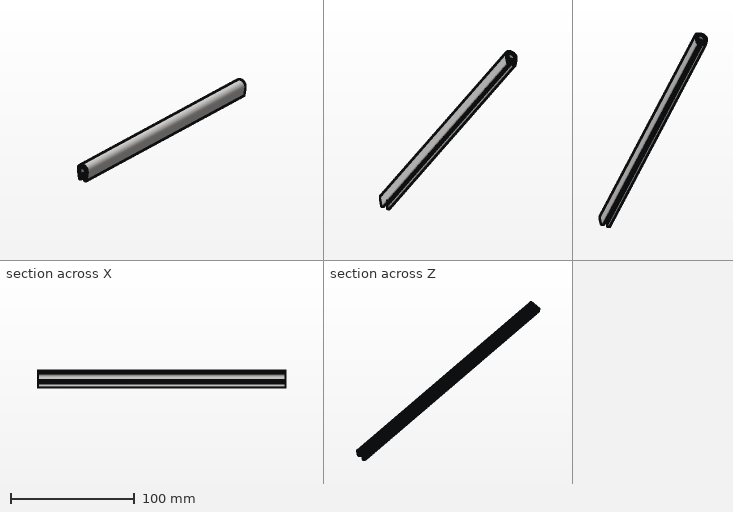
import cadquery as cq
import math

length = 200.0
width = 10.5
height = 14.0
wall = 2.5
core_thickness = 0.2
leg_tilt = math.radians(9.5)

bend_radius = (width - wall) / 2
bend_z = height - width / 2
leg_length = (bend_z - bend_radius * math.sin(leg_tilt) - wall / 2) / math.cos(leg_tilt)

lip_gap = 0.2
lip_root_x = -2.5
lip_top_z = 4.8
lip_step_x = -1.2
lip_tip_top_z = 6.2
lip_tip_bottom_z = 5.2
lip_heel_x = -1.5
lip_heel_z = 3.5


def leg_point(radius, along):
    """Left-side point at a distance along the leg from the end of the bend."""
    x = -radius * math.cos(leg_tilt) + along * math.sin(leg_tilt)
    z = bend_z - radius * math.sin(leg_tilt) - along * math.cos(leg_tilt)
    return x, z


def mirrored(point):
    return -point[0], point[1]


def extruded(outline):
    """Extrude a closed XZ outline along +Y, centred on the origin."""
    return outline.close().extrude(-length).translate((0, -length / 2, 0))


def bent_strip(thickness, round_ends):
    """Strip bent over the top, with two straight legs leaning inward."""
    outer_radius = bend_radius + thickness / 2
    inner_radius = bend_radius - thickness / 2
    outer_end = leg_point(outer_radius, leg_length)
    inner_end = leg_point(inner_radius, leg_length)
    cap_middle = leg_point(bend_radius, leg_length + thickness / 2)
    outer_bend = leg_point(outer_radius, 0)
    inner_bend = leg_point(inner_radius, 0)

    outline = cq.Workplane("XZ").moveTo(*outer_end).lineTo(*outer_bend)
    outline = outline.threePointArc((0, bend_z + outer_radius), mirrored(outer_bend))
    outline = outline.lineTo(*mirrored(outer_end))
    if round_ends:
        outline = outline.threePointArc(mirrored(cap_middle), mirrored(inner_end))
    else:
        outline = outline.lineTo(*mirrored(inner_end))
    outline = outline.lineTo(*mirrored(inner_bend))
    outline = outline.threePointArc((0, bend_z + inner_radius), inner_bend)
    outline = outline.lineTo(*inner_end)
    if round_ends:
        outline = outline.threePointArc(cap_middle, outer_end)
    return extruded(outline)


def make_lip():
    """Left gripping lip, rising from the leg to a tip near the middle."""
    tip_x = -lip_gap / 2
    points = [
        (lip_root_x, lip_top_z),
        (lip_step_x, lip_top_z),
        (tip_x, lip_tip_top_z),
        (tip_x, lip_tip_bottom_z),
        (lip_heel_x, lip_heel_z),
        (lip_root_x, lip_heel_z),
    ]
    return extruded(cq.Workplane("XZ").polyline(points))


def make_core():
    return bent_strip(core_thickness, round_ends=False)


def make_sheath():
    """Wall with both lips, and a slot that the core fills."""
    lip = make_lip()
    body = bent_strip(wall, round_ends=True).union(lip).union(lip.mirror("YZ"))
    return body.cut(make_core())


sheath = make_sheath()
core = make_core()

result = cq.Compound.makeCompound([sheath.val(), core.val()])